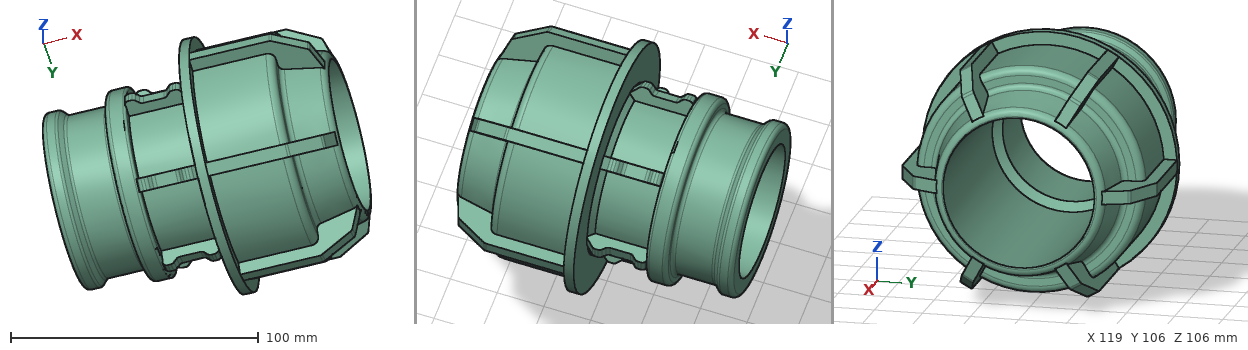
import cadquery as cq
import math

length = 119.0

bore_radius = 56.6 / 2
wide_bore_radius = 63.0 / 2
bore_taper_start = 30.6
bore_taper_end = 35.2
neck_radius = 68.0 / 2
collar_radius = 73.7 / 2
collar_end = 6.2
bead_radius = 79.4 / 2
bead_start = 27.0
bead_end = 35.9
collar_round = 2.0
groove_round = 1.7
bead_back_round = 1.2

flange_radius = 106.0 / 2
flange_start = 62.1
flange_end = 66.4
flare = 2.5
barrel_radius = 47.6
barrel_end = 100.3
cone_start_radius = 39.0
cone_end_radius = 34.9
nut_round = 3.3
cone_root_round = 2.5

rib_count = 6
rib_thickness = 5.5
nut_rib_knee = barrel_end
nut_rib_shoulder = 114.4
nut_rib_shoulder_radius = 45.0
nut_rib_end = 118.6
nut_rib_end_radius = 33.0
nut_rib_round = 2.0
crest_radius = 40.9
saddle_radius = 38.4
neck_rib_start = 35.7
front_bump_start = 36.8
rear_bump_start = 55.1
crest_width = 3.0
bump_round = 2.0
rib_foot_radius = 32.7


def rounded_outline(corners):
    """Closed XY outline from (x, r, rounding) corners; zero rounding leaves a corner sharp."""
    outline = None
    for i, (x, r, rounding) in enumerate(corners):
        corner = cq.Vector(x, r)
        to_previous = (cq.Vector(*corners[i - 1][:2]) - corner).normalized()
        to_next = (cq.Vector(*corners[(i + 1) % len(corners)][:2]) - corner).normalized()
        half_angle = to_previous.getAngle(to_next) / 2
        setback = rounding / math.tan(half_angle)
        entry = corner + to_previous * setback
        if outline is None:
            outline = cq.Workplane("XY").moveTo(entry.x, entry.y)
        else:
            outline = outline.lineTo(entry.x, entry.y)
        if rounding > 0:
            bisector = (to_previous + to_next).normalized()
            middle = corner + bisector * (rounding / math.sin(half_angle) - rounding)
            leave = corner + to_next * setback
            outline = outline.threePointArc((middle.x, middle.y), (leave.x, leave.y))
    return outline.close()


def body():
    """Revolved wall of the spigot and nut, with the bore left open."""
    groove_start = collar_end + collar_radius - neck_radius
    corners = [
        (0, bore_radius, 0),
        (0, collar_radius, collar_round),
        (collar_end, collar_radius, groove_round),
        (groove_start, neck_radius, groove_round),
        (bead_start, neck_radius, groove_round),
        (bead_start, bead_radius, collar_round),
        (bead_end, bead_radius, bead_back_round),
        (bead_end, neck_radius, 0),
        (flange_start - flare, neck_radius, 0),
        (flange_start, neck_radius + flare, 0),
        (flange_start, flange_radius, 0),
        (flange_end, flange_radius, 0),
        (flange_end, barrel_radius, 0),
        (barrel_end, barrel_radius, nut_round),
        (barrel_end, cone_start_radius, cone_root_round),
        (length, cone_end_radius, nut_round),
        (length, wide_bore_radius, 0),
        (bore_taper_end, wide_bore_radius, 0),
        (bore_taper_start, bore_radius, 0),
    ]
    return rounded_outline(corners).revolve(360, (0, 0, 0), (1, 0, 0))


def nut_rib():
    """Radial plate on the nut, sloping in twice towards the nut's open end."""
    corners = [
        (flange_end, rib_foot_radius, 0),
        (flange_end, flange_radius, 0),
        (nut_rib_knee, flange_radius, nut_rib_round),
        (nut_rib_shoulder, nut_rib_shoulder_radius, nut_rib_round),
        (nut_rib_end, nut_rib_end_radius, 0),
        (nut_rib_end, rib_foot_radius, 0),
    ]
    return rounded_outline(corners).extrude(rib_thickness / 2, both=True)


def neck_rib():
    """Plate on the neck between bead and flange, with two flat-topped bumps and 45 degree slopes."""
    bump_height = crest_radius - saddle_radius
    front_bump_end = front_bump_start + crest_width
    rear_bump_end = rear_bump_start + crest_width
    slope_end_radius = crest_radius - (flange_start - rear_bump_end)
    rib_start_radius = crest_radius - (front_bump_start - neck_rib_start)
    corners = [
        (neck_rib_start, rib_foot_radius, 0),
        (neck_rib_start, rib_start_radius, 0),
        (front_bump_start, crest_radius, bump_round),
        (front_bump_end, crest_radius, bump_round),
        (front_bump_end + bump_height, saddle_radius, bump_round),
        (rear_bump_start - bump_height, saddle_radius, bump_round),
        (rear_bump_start, crest_radius, bump_round),
        (rear_bump_end, crest_radius, bump_round),
        (flange_start, slope_end_radius, 0),
        (flange_start, rib_foot_radius, 0),
    ]
    return rounded_outline(corners).extrude(rib_thickness / 2, both=True)


result = body()
for rib in (nut_rib(), neck_rib()):
    for i in range(rib_count):
        result = result.union(rib.rotate((0, 0, 0), (1, 0, 0), i * 360 / rib_count))